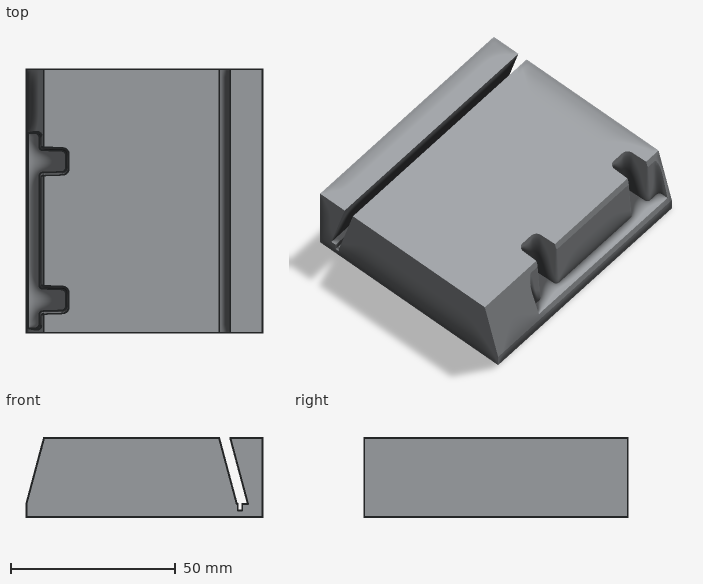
import cadquery as cq
import math

length_x = 71.7
width_y = 80.0
height = 24.0
foot_height = 4.0
lean_angle = math.radians(15)
lean = math.tan(lean_angle)

groove_left = 58.5
groove_width = 3.2
groove_floor = 4.0
relief_left = 64.2
relief_width = 1.3
relief_floor = 2.0

recess_floor = 6.0
recess_depth = 3.9
recess_length = 59.2
slot_centers = (-30.0, 12.0)
recess_center = sum(slot_centers) / 2
slot_depth = 12.0
slot_mouth = 6.8
slot_end = 6.2
corner_radius = 1.2
wall_draft = 3.0
overrun = 8.0


def make_block():
    slope_run = (height - foot_height) * lean
    profile = [(0, 0), (length_x, 0), (length_x, height), (slope_run, height), (0, foot_height)]
    return cq.Workplane("XZ").polyline(profile).close().extrude(width_y / 2, both=True)


def make_groove():
    mouth = groove_width / math.cos(lean_angle)
    shift = (height - groove_floor) * lean
    floor_left = groove_left + shift
    relief_right = relief_left + relief_width
    profile = [
        (groove_left, height),
        (floor_left, groove_floor),
        (relief_left, groove_floor),
        (relief_left, relief_floor),
        (relief_right, relief_floor),
        (relief_right, groove_floor),
        (floor_left + mouth, groove_floor),
        (groove_left + mouth, height),
    ]
    return cq.Workplane("XZ").polyline(profile).close().extrude(width_y / 2, both=True)


def make_recess():
    low_end = recess_center - recess_length / 2
    high_end = recess_center + recess_length / 2
    outline = [(-overrun, low_end), (recess_depth, low_end)]
    for slot_center in slot_centers:
        outline += [
            (recess_depth, slot_center - slot_mouth / 2),
            (slot_depth, slot_center - slot_end / 2),
            (slot_depth, slot_center + slot_end / 2),
            (recess_depth, slot_center + slot_mouth / 2),
        ]
    outline += [(recess_depth, high_end), (-overrun, high_end)]
    sketch = cq.Sketch().polygon(outline + outline[:1]).vertices().fillet(corner_radius)
    floor = cq.Workplane("XY").workplane(offset=recess_floor).placeSketch(sketch)
    return floor.extrude(height - recess_floor, taper=-wall_draft)


result = make_block().cut(make_groove()).cut(make_recess())